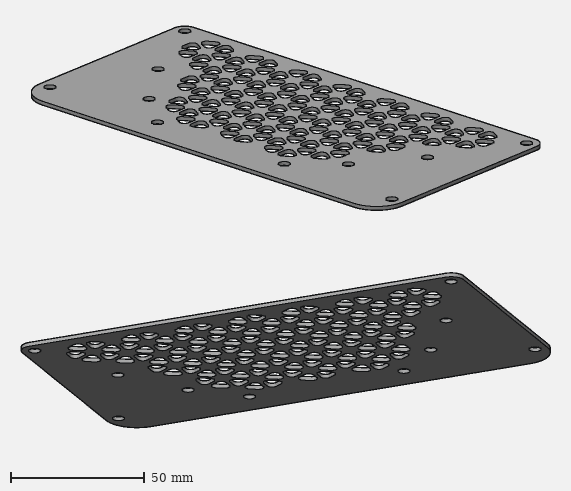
import cadquery as cq
import math

length = 181.6
width = 93.9
thickness = 1.6
top_corner_radius = 5.0
bottom_corner_radius = 12.7

hole_diameter = 4.5
corner_hole_x = length / 2 - top_corner_radius
top_hole_y = width / 2 - top_corner_radius
bottom_hole_y = -width / 2 + bottom_corner_radius
screw_holes = [
    (corner_hole_x, top_hole_y),
    (67.5, 6.4),
    (50.0, -18.5),
    (31.8, bottom_hole_y),
    (corner_hole_x, bottom_hole_y),
]

triangle_side = 12.7
rib_width = 1.6
petal_radius = 2.0
column_pitch = triangle_side * math.sqrt(3) / 2
row_pitch = triangle_side / 2
top_row_y = 6 * row_pitch

paired_columns = [6, 5, 6, 5, 4, 3, 4, 3, 2, 3, 2]
rows_with_end_petal = [1, 5, 8]


def make_plate():
    plate = cq.Workplane("XY").box(length, width, thickness)
    plate = plate.edges("|Z and >Y").fillet(top_corner_radius)
    return plate.edges("|Z and <Y").fillet(bottom_corner_radius)


def petal_places():
    """Rib position (x, y) and pointing direction (+1 or -1 along X) of each petal."""
    places = []
    for row, last in enumerate(paired_columns):
        y = top_row_y - row * row_pitch
        for column in range(-last, last + 1, 2):
            places.append((column * column_pitch, y, 1))
            places.append((column * column_pitch, y, -1))
        if row in rows_with_end_petal:
            end_x = (last + 2) * column_pitch
            places.append((-end_x, y, 1))
            places.append((end_x, y, -1))
    return places


def make_petal(direction):
    """Rounded triangle beside a rib at the origin, with its tip along X."""
    base_x = rib_width / 2
    height = column_pitch - 3 * base_x
    half_base = height / math.sqrt(3)
    corners = [
        (direction * base_x, -half_base),
        (direction * (base_x + height), 0),
        (direction * base_x, half_base),
    ]
    petal = cq.Workplane("XY").polyline(corners).close().extrude(thickness, both=True)
    return petal.edges("|Z").fillet(petal_radius).val()


def cut_grille(plate):
    petals = {direction: make_petal(direction) for direction in (1, -1)}
    cutters = [petals[direction].translate(cq.Vector(x, y, 0)) for x, y, direction in petal_places()]
    return plate.cut(cq.Workplane("XY").newObject([cq.Compound.makeCompound(cutters)]))


def cut_screw_holes(plate):
    points = [(side * x, y) for x, y in screw_holes for side in (1, -1)]
    return plate.faces(">Z").workplane(origin=(0, 0, 0)).pushPoints(points).hole(hole_diameter)


result = cut_screw_holes(cut_grille(make_plate()))